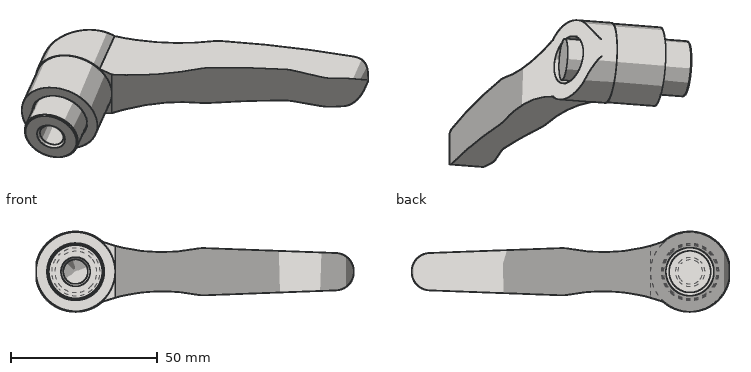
import cadquery as cq
import math


hub_radius = 27.0 / 2
insert_radius = 19.0 / 2
insert_chamfer = 0.4
hub_base = 10.0
hub_top = 27.0
recess_radius = 19.6 / 2
recess_depth = 1.0

hole_radius = 8.38 / 2
hole_mouth_radius = 10.0 / 2
hole_depth = 20.0
drill_point_angle = 118.0

button_radius = 14.2 / 2
button_top = 42.84
button_pocket_radius = 16.4 / 2
button_pocket_floor = hub_top

lever_tip_x = 94.98
upper_arc_radius = 312.0
upper_arc_apex = (116.5, 63.67)
lower_arc_radius = 243.3
lower_arc_apex_x = 129.0
ramp_end = (17.8, 29.2)
rim_rounding = 6.2
grip_flat_y = 48.85
grip_flat_end_x = 83.65
grip_entry_fillet = 10.0
grip_exit_fillet = 12.4
tip_slope = math.radians(19.5)
tip_slope_end_x = 89.0
nose_rounding = 3.4

head_radius = 27.5 / 2
neck_start_x = 9.15
waist = (29.5, 6.7)
shoulder = (42.5, 8.15)
shoulder_fillet = 12.5
tip_radius = 6.42


def disc(radius, start, end):
    """Cylinder on the hub axis between two heights."""
    return cq.Workplane("XZ", origin=(0, start, 0)).circle(radius).extrude(start - end)


def arc_height(center, radius, x):
    """Height of the upper half of a circle at x."""
    return center[1] + math.sqrt(radius**2 - (x - center[0]) ** 2)


def fillet_profile_edge(body, point, radius):
    """Round the profile corner that runs along Z at the given XY point."""
    return body.edges(cq.selectors.NearestToPointSelector((*point, 0))).fillet(radius)


def lever_profile():
    """Side profile of head and arm, extruded across the full head width."""
    upper_center = (upper_arc_apex[0], upper_arc_apex[1] - upper_arc_radius)
    lower_arc_rise = math.sqrt(lower_arc_radius**2 - (lower_arc_apex_x - ramp_end[0]) ** 2)
    lower_center = (lower_arc_apex_x, ramp_end[1] - lower_arc_rise)

    def upper(x):
        return (x, arc_height(upper_center, upper_arc_radius, x))

    def lower(x):
        return (x, arc_height(lower_center, lower_arc_radius, x))

    grip_drop = grip_flat_y - lower_center[1]
    grip_entry = (lower_center[0] - math.sqrt(lower_arc_radius**2 - grip_drop**2), grip_flat_y)
    grip_exit = (grip_flat_end_x, grip_flat_y)
    slope_end = (
        tip_slope_end_x,
        grip_flat_y + (tip_slope_end_x - grip_flat_end_x) * math.tan(tip_slope),
    )
    nose_radius = (lever_tip_x - tip_slope_end_x) / (1 - math.sin(tip_slope))
    nose_center = (lever_tip_x - nose_radius, slope_end[1] + nose_radius * math.cos(tip_slope))
    nose_mid_angle = (tip_slope - math.pi / 2) / 2
    nose_mid = (
        nose_center[0] + nose_radius * math.cos(nose_mid_angle),
        nose_center[1] + nose_radius * math.sin(nose_mid_angle),
    )
    rim_corner = upper(-hub_radius)
    tip_corner = upper(lever_tip_x)

    body = (
        cq.Workplane("XY", origin=(0, 0, -head_radius))
        .moveTo(-hub_radius, hub_top)
        .lineTo(hub_radius, hub_top)
        .lineTo(*ramp_end)
        .threePointArc(lower((ramp_end[0] + grip_entry[0]) / 2), grip_entry)
        .lineTo(*grip_exit)
        .lineTo(*slope_end)
        .threePointArc(nose_mid, (lever_tip_x, nose_center[1]))
        .lineTo(*tip_corner)
        .threePointArc(upper((lever_tip_x - hub_radius) / 2), rim_corner)
        .close()
        .extrude(2 * head_radius)
    )
    body = fillet_profile_edge(body, rim_corner, rim_rounding)
    body = fillet_profile_edge(body, grip_entry, grip_entry_fillet)
    body = fillet_profile_edge(body, grip_exit, grip_exit_fillet)
    return fillet_profile_edge(body, tip_corner, nose_rounding)


def lever_outline():
    """Head circle, waisted neck and tapered grip, extruded along the hub axis."""
    neck_half_width = math.sqrt(head_radius**2 - neck_start_x**2)
    tip_center_x = lever_tip_x - tip_radius
    reach = tip_center_x - shoulder[0]
    taper = math.atan2(shoulder[1], reach) - math.asin(tip_radius / math.hypot(reach, shoulder[1]))
    tangent_x = tip_center_x + tip_radius * math.sin(taper)
    tangent_z = tip_radius * math.cos(taper)

    body = (
        cq.Workplane("XZ", origin=(0, hub_top, 0))
        .moveTo(neck_start_x, -neck_half_width)
        .threePointArc((waist[0], -waist[1]), (shoulder[0], -shoulder[1]))
        .lineTo(tangent_x, -tangent_z)
        .threePointArc((lever_tip_x, 0), (tangent_x, tangent_z))
        .lineTo(*shoulder)
        .threePointArc(waist, (neck_start_x, neck_half_width))
        .threePointArc((-head_radius, 0), (neck_start_x, -neck_half_width))
        .close()
        .extrude(hub_top - upper_arc_apex[1])
    )
    for side in (-1, 1):
        shoulder_point = (shoulder[0], (hub_top + upper_arc_apex[1]) / 2, side * shoulder[1])
        edge = cq.selectors.NearestToPointSelector(shoulder_point)
        body = body.edges(edge).fillet(shoulder_fillet)
    return body


def insert_hole():
    """Chamfered blind hole with a conical drill point."""
    mouth_chamfer = hole_mouth_radius - hole_radius
    point_depth = hole_radius / math.tan(math.radians(drill_point_angle / 2))
    return (
        cq.Workplane("XY")
        .polyline(
            [
                (0, 0),
                (hole_mouth_radius, 0),
                (hole_radius, mouth_chamfer),
                (hole_radius, hole_depth),
                (0, hole_depth + point_depth),
            ]
        )
        .close()
        .revolve(360, (0, 0, 0), (0, 1, 0))
    )


lever = lever_profile().intersect(lever_outline())
hub = disc(hub_radius, hub_base, hub_top)
recess = disc(recess_radius, hub_base, hub_base + recess_depth)
button_pocket = disc(button_pocket_radius, button_pocket_floor, upper_arc_apex[1])
button = disc(button_radius, button_pocket_floor, button_top)
insert = disc(insert_radius, 0, hub_base + recess_depth).faces("<Y").chamfer(insert_chamfer)

result = lever.union(hub).cut(recess).cut(button_pocket)
result = result.union(button).union(insert).cut(insert_hole())